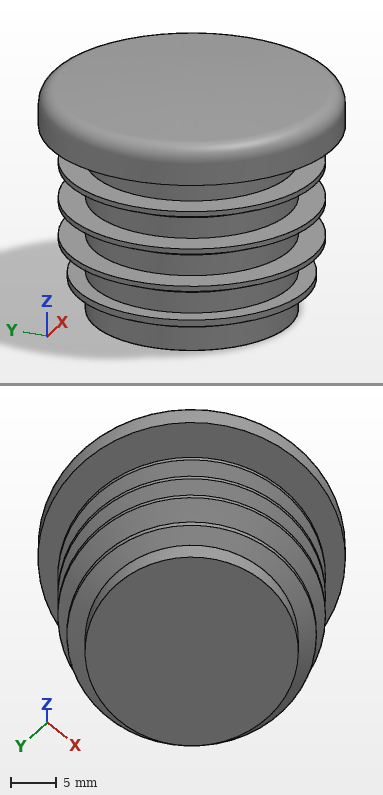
import cadquery as cq
import math

cap_diameter = 34.0
cap_underside = 22.05
cap_side_height = 2.62
cap_round_height = 1.9
cap_face_diameter = 30.25
cap_crown = 0.45

body_radius = 23.6 / 2

large_fin_diameter = 29.6
large_fin_rim_height = 0.6
large_fin_cone_height = 1.4
small_fin_diameter = 27.6
small_fin_rim_height = 0.78
small_fin_cone_height = 0.92
lowest_fin_top = 4.52
fin_pitch = 4.5
large_fin_count = 3


def make_cap():
    """Revolve the cap: straight side, rounded shoulder and slightly domed face."""
    radius = cap_diameter / 2
    face_radius = cap_face_diameter / 2
    side_top = cap_underside + cap_side_height
    face_edge = side_top + cap_round_height
    dome_radius = (face_radius**2 + cap_crown**2) / (2 * cap_crown)
    dome_center = face_edge + cap_crown - dome_radius
    middle_radius = face_radius / 2
    dome_middle = (middle_radius, dome_center + math.sqrt(dome_radius**2 - middle_radius**2))
    return (
        cq.Workplane("XZ")
        .moveTo(0, cap_underside)
        .lineTo(radius, cap_underside)
        .lineTo(radius, side_top)
        .tangentArcPoint((face_radius, face_edge), relative=False)
        .threePointArc(dome_middle, (0, face_edge + cap_crown))
        .close()
        .revolve(360, (0, 0, 0), (0, 1, 0))
    )


def make_fin(diameter, rim_height, cone_height, top):
    """Revolve one solid fin whose flat upper face is at the given height."""
    radius = diameter / 2
    rim_bottom = top - rim_height
    return (
        cq.Workplane("XZ")
        .moveTo(0, top)
        .lineTo(radius, top)
        .lineTo(radius, rim_bottom)
        .lineTo(body_radius, rim_bottom - cone_height)
        .lineTo(0, rim_bottom - cone_height)
        .close()
        .revolve(360, (0, 0, 0), (0, 1, 0))
    )


body = cq.Workplane("XY").circle(body_radius).extrude(cap_underside)
result = body.union(make_cap())
result = result.union(
    make_fin(small_fin_diameter, small_fin_rim_height, small_fin_cone_height, lowest_fin_top)
)
for level in range(1, large_fin_count + 1):
    fin_top = lowest_fin_top + level * fin_pitch
    result = result.union(
        make_fin(large_fin_diameter, large_fin_rim_height, large_fin_cone_height, fin_top)
    )